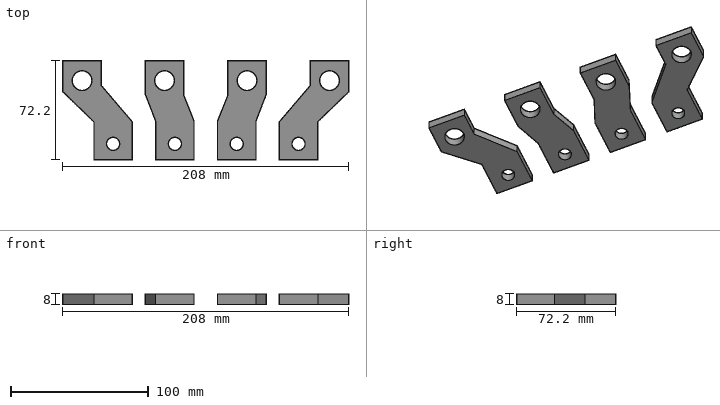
import cadquery as cq

total_width = 208.0
plate_length = 72.2
plate_thickness = 8.0
bar_width = 28.0

front_pitch = 45.0
rear_pitch = (total_width - bar_width) / 3

inner_place = 0.5
outer_place = 1.5

front_hole_diameter = 9.4
front_hole_y = 11.6
rear_hole_diameter = 14.1
rear_hole_setback = 14.5
rear_hole_y = plate_length - rear_hole_setback

outer_front_bend_y = 27.7
outer_rear_bend_out_y = 49.5
outer_rear_bend_in_y = 54.0
inner_front_bend_y = 28.0
inner_rear_bend_out_y = 47.6
inner_rear_bend_in_y = 47.0


def offset_plate(side, place, front_bend_y, rear_bend_out_y, rear_bend_in_y):
    """Connecting plate on one side (-1 or +1) whose rear end is shifted away from the middle."""
    front_x = side * place * front_pitch
    rear_x = side * place * rear_pitch
    outward = side * bar_width / 2
    inward = -outward

    outline = [
        (front_x + outward, 0),
        (front_x + outward, front_bend_y),
        (rear_x + outward, rear_bend_out_y),
        (rear_x + outward, plate_length),
        (rear_x + inward, plate_length),
        (rear_x + inward, rear_bend_in_y),
        (front_x + inward, front_bend_y),
        (front_x + inward, 0),
    ]
    plate = cq.Workplane("XY").polyline(outline).close().extrude(plate_thickness)

    holes = [
        (front_x, front_hole_y, front_hole_diameter),
        (rear_x, rear_hole_y, rear_hole_diameter),
    ]
    for hole_x, hole_y, diameter in holes:
        bore = cq.Workplane("XY").center(hole_x, hole_y).circle(diameter / 2).extrude(plate_thickness)
        plate = plate.cut(bore)
    return plate.val()


def outer_plate(side):
    """Strongly offset plate at the left or right end of the row."""
    return offset_plate(side, outer_place, outer_front_bend_y, outer_rear_bend_out_y, outer_rear_bend_in_y)


def inner_plate(side):
    """Slightly offset plate next to the middle of the row."""
    return offset_plate(side, inner_place, inner_front_bend_y, inner_rear_bend_out_y, inner_rear_bend_in_y)


plates = []
for side in (-1, 1):
    plates.append(outer_plate(side))
    plates.append(inner_plate(side))

result = cq.Compound.makeCompound(plates)